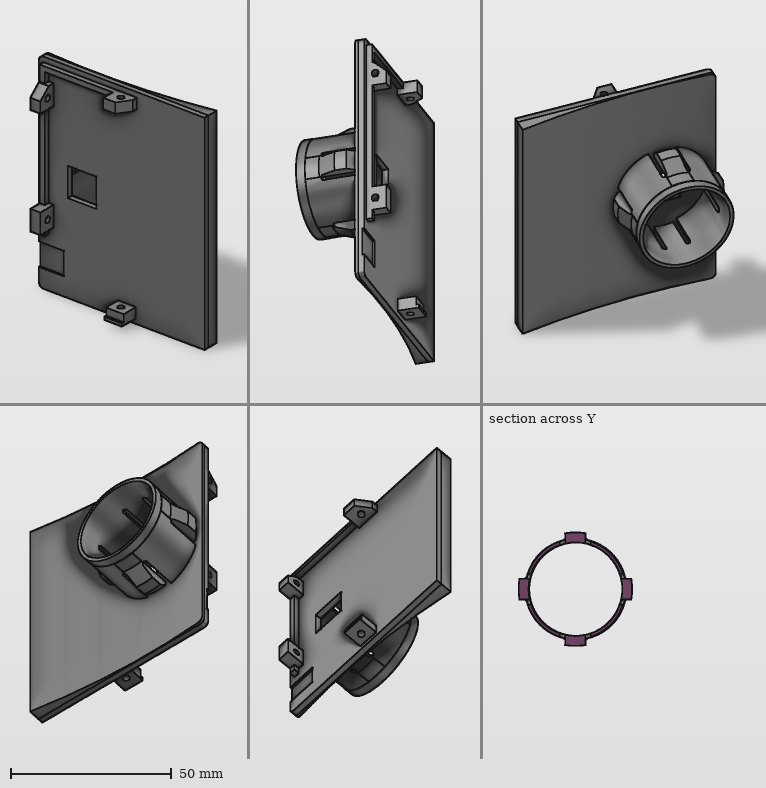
import cadquery as cq
import math

width = 66.2
height = 82.0
base_thickness = 2.0
corner_radius = 2.0

window_size = 11.4
window_x = 17.3
mid_z = height / 2

rail_size = 2.0
rail_inset = 2.0
rail_bottom = 20.2
rail_right = 39.2

lug_depth = 6.65
lug_length = 8.0
lug_width = 4.0
lug_hole_diameter = 2.3
lug_hole_depth = 2.95
upper_lug_top = 74.0
lower_lug_top = 31.1
chamfer_start_depth = 2.5
upper_lug_chamfer = 3.7
top_lug_chamfer = 3.3
foot_length = 7.05
foot_depth = 6.1
foot_left = 31.7
foot_lip_depth = 7.0
foot_lip_height = 1.15

pocket_depth = 0.65
pocket_length = 10.0
pocket_bottom = 7.1
pocket_top = 16.15

cover_radius = 259.1
cover_low_x = 21.2
cover_min_thickness = 0.2
arc_centre_y = base_thickness + cover_min_thickness + cover_radius

cup_x = 17.7
cup_length = 20.9
bore_radius = 29.0 / 2
flange_radius = 31.5 / 2
wall_radius = 15.7
arm_radius = 15.6
trim_allowance = 0.8
flange_thickness = 2.95
clip_count = 4
clip_sector_width = 7.3
clip_arm_width = 6.5
slot_width = 1.5
slot_start = 8.2
clip_radius = 17.7
clip_foot_radius = 15.7
clip_ramp_start = 7.55
clip_ramp_end = 13.45
clip_flat_end = 17.4
clip_end = 20.0


def box(x0, x1, y0, y1, z0, z1):
    """Box between two opposite corners."""
    return cq.Workplane("XY").box(x1 - x0, y1 - y0, z1 - z0, centered=False).translate((x0, y0, z0))


def prism_along_z(points, z0, z1):
    return cq.Workplane("XY").workplane(offset=z0).polyline(points).close().extrude(z1 - z0)


def prism_along_x(points, x0, x1):
    return cq.Workplane("YZ").workplane(offset=x0).polyline(points).close().extrude(x1 - x0)


def window(thickness):
    """Cutter for the square window, from the front face back over the given thickness."""
    half = window_size / 2
    return box(window_x - half, window_x + half, 0, thickness, mid_z - half, mid_z + half)


def round_left_corners(plate):
    return plate.edges("|Y and <X").fillet(corner_radius)


def rail():
    top = height - rail_inset
    upright = box(rail_inset, rail_inset + rail_size, -rail_size, 0, rail_bottom, top)
    beam = box(rail_inset, rail_right, -rail_size, 0, top - rail_size, top)
    return upright.union(beam)


def side_lug(top):
    """Lug on the upright rail."""
    return box(rail_inset, rail_inset + lug_width, -lug_depth, 0, top - lug_length, top)


def upper_lug():
    """Side lug with its upper front edge sloped off."""
    slope = [
        (-chamfer_start_depth, upper_lug_top),
        (-lug_depth, upper_lug_top),
        (-lug_depth, upper_lug_top - upper_lug_chamfer),
    ]
    return side_lug(upper_lug_top).cut(prism_along_x(slope, 0, width))


def top_lug():
    """Lug at the right end of the upper rail, with its right front edge sloped off."""
    top = height - rail_inset
    slope = [
        (rail_right, -rail_size),
        (rail_right, -lug_depth),
        (rail_right - top_lug_chamfer, -lug_depth),
    ]
    lug = box(rail_right - lug_length, rail_right, -lug_depth, 0, top - lug_width, top)
    return lug.cut(prism_along_z(slope, 0, height))


def foot():
    """Block above the lower edge, with a lip along its lower front edge."""
    right = foot_left + foot_length
    block = box(foot_left, right, -foot_depth, 0, rail_inset, rail_inset + lug_width)
    lip = box(foot_left, right, -foot_lip_depth, 0, rail_inset, rail_inset + foot_lip_height)
    return block.union(lip)


def side_lug_hole(lug_top):
    """Cutter along X through the middle of a side lug."""
    return (
        cq.Workplane("YZ")
        .center(-lug_hole_depth, lug_top - lug_length / 2)
        .circle(lug_hole_diameter / 2)
        .extrude(width)
    )


def vertical_hole():
    """Cutter along Z through the top lug and the foot."""
    return (
        cq.Workplane("XY")
        .center(rail_right - lug_length / 2, -lug_hole_depth)
        .circle(lug_hole_diameter / 2)
        .extrude(height)
    )


def make_base():
    plate = round_left_corners(box(0, width, 0, base_thickness, 0, height))
    pocket = box(0, pocket_length, 0, pocket_depth, pocket_bottom, pocket_top)
    plate = plate.cut(pocket).cut(window(base_thickness))
    plate = plate.union(rail()).union(foot()).union(top_lug())
    plate = plate.union(upper_lug()).union(side_lug(lower_lug_top))
    for lug_top in (upper_lug_top, lower_lug_top):
        plate = plate.cut(side_lug_hole(lug_top))
    return plate.cut(vertical_hole())


def arc_y(x):
    """Y of the concave back face at a given X."""
    return arc_centre_y - math.sqrt(cover_radius**2 - (x - cover_low_x) ** 2)


def concave_plate(front_y):
    """Full-size plate from a flat front face to the concave back face."""
    return (
        cq.Workplane("XY")
        .moveTo(0, front_y)
        .lineTo(width, front_y)
        .lineTo(width, arc_y(width))
        .threePointArc((cover_low_x, arc_y(cover_low_x)), (0, arc_y(0)))
        .close()
        .extrude(height)
    )


def make_cover():
    return round_left_corners(concave_plate(base_thickness)).cut(window(arc_y(width)))


def ring(outer_radius, start, end):
    """Tube round the cup axis with the cup's bore, between two distances from the open end."""
    section = cq.Workplane("XY").workplane(offset=start).circle(outer_radius).circle(bore_radius)
    return section.extrude(end - start)


def clip_profile_ring():
    """Full ring whose outside is the plain arm, then the ramp, the flat and the return of a clip."""
    return (
        cq.Workplane("XZ")
        .polyline(
            [
                (bore_radius, flange_thickness),
                (arm_radius, flange_thickness),
                (arm_radius, clip_ramp_start),
                (clip_radius, clip_ramp_end),
                (clip_radius, clip_flat_end),
                (clip_foot_radius, clip_end),
                (bore_radius, clip_end),
            ]
        )
        .close()
        .revolve(360, (0, 0, 0), (0, 1, 0))
    )


def sector(clip_width, start, end):
    """Radial bar on the +X side of the cup axis."""
    return box(0, 2 * clip_radius, -clip_width / 2, clip_width / 2, start, end)


def slot(side):
    """Round-ended cutter beside a clip arm; side is +1 or -1."""
    centre_y = side * (clip_arm_width + slot_width) / 2
    round_end = slot_start + slot_width / 2
    straight = sector(slot_width, round_end, 2 * cup_length)
    tip = cq.Workplane("YZ").center(0, round_end).circle(slot_width / 2).extrude(2 * clip_radius)
    return straight.union(tip).translate((0, centre_y, 0))


def turned(shape, angle):
    """Turn a shape about the cup axis."""
    return shape.rotate((0, 0, 0), (0, 0, 1), angle)


def make_clip():
    """Clip arm on the +X side, as wide as its sector; the slots narrow it later."""
    return clip_profile_ring().intersect(sector(clip_sector_width, 0, cup_length))


def stand_on_cover(cup):
    """Move the cup from its own axes (open end on Z = 0) to stand square to the concave face."""
    lean = math.asin((cover_low_x - cup_x) / cover_radius)
    toward_open_end = cq.Vector(math.sin(lean), math.cos(lean), 0)
    open_end = cq.Vector(cup_x, arc_y(cup_x), mid_z) + toward_open_end * cup_length
    return cup.val().moved(cq.Location(cq.Plane(open_end, (0, 0, 1), toward_open_end * -1)))


def make_cup():
    """Tube with a rim and four spring clips, its foot trimmed to the concave face."""
    tube = ring(wall_radius, 0, cup_length + trim_allowance)
    cup = tube.union(ring(flange_radius, 0, flange_thickness))
    opening = sector(clip_sector_width, flange_thickness, 2 * cup_length)
    clip = make_clip()
    for number in range(clip_count):
        angle = number * 360 / clip_count
        cup = cup.cut(turned(opening, angle)).union(turned(clip, angle))
        for side in (1, -1):
            cup = cup.cut(turned(slot(side), angle))
    return cq.Workplane(stand_on_cover(cup)).cut(concave_plate(0))


base = make_base()
cover = make_cover()
cup = make_cup()

result = cq.Compound.makeCompound([base.val(), cover.val(), cup.val()])